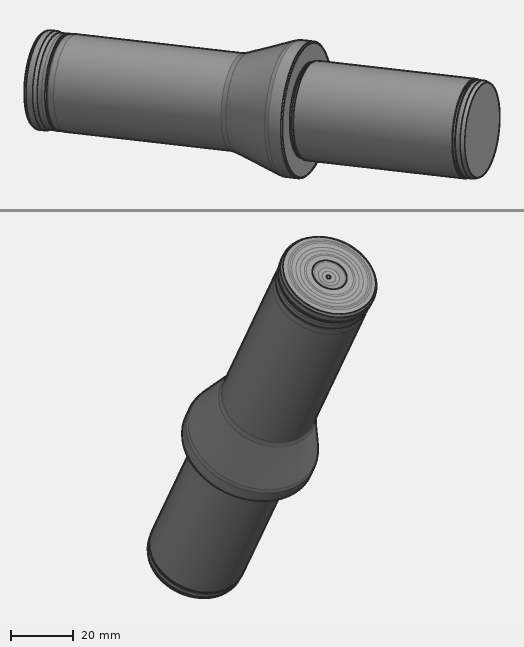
import cadquery as cq

total_length = 151.0
joint_x = 8.2
flare_start_x = 67.8
flare_x = 69.6
flare_end_x = 85.0
collar_x = 86.4
collar_back_x = 91.2
neck_end_x = 91.8
rear_shaft_x = 92.7
rear_shaft_end_x = 146.9
tail_x = 147.8
tail_chamfer_x = 149.6

front_radius = 31.4 / 2
rear_radius = 32.0 / 2
relief_radius = 31.0 / 2
collar_radius = 44.0 / 2
flare_start_radius = 16.2
flare_end_radius = 21.6
flare_slope = 0.3
tail_radius = 31.5 / 2
tail_end_radius = 15.3
collar_chamfer = 0.5

joint_radius = 15.4
joint_bevel = 0.5
lead_in_radius = 15.5
lead_in_length = 2.4
lead_in_slope = 0.2

cap_shoulder_x = 0.5
cap_shoulder_radius = 15.4
cap_rim_x = 1.4
cap_rim_end_x = 3.6
cap_taper_end_x = 5.0
cap_land_end_x = 6.3
cap_land_radius = 15.5

rim_outer_radius = 13.9
rim_crest_radius = 13.3
rim_edge_drop = 0.08
rim_inner_radius = 12.7
valley_outer_radius = 11.2
valley_inner_radius = 9.8
boss_base_radius = 8.5
boss_radius = 7.9
countersink_edge_radius = 5.7
countersink_radius = 5.3
countersink_floor_radius = 3.5
center_step_radius = 2.3
center_dimple_radius = 0.68
valley_depth = 0.3
boss_base_depth = 0.23
boss_depth = 0.2
countersink_start_depth = 0.3
countersink_depth = 1.0
center_step_depth = 1.2
dimple_depth = 1.4


def revolve_about_x(profile):
    """Turn a closed (x, radius) profile around the X axis."""
    return profile.close().revolve(360, (0, 0, 0), (1, 0, 0))


def make_cap():
    """End cap with a profiled face and a flat back."""
    profile = (
        cq.Workplane("XY")
        .moveTo(joint_x, 0)
        .lineTo(dimple_depth, 0)
        .lineTo(dimple_depth, center_dimple_radius)
        .lineTo(center_step_depth, center_dimple_radius)
        .lineTo(center_step_depth, center_step_radius)
        .lineTo(countersink_depth, countersink_floor_radius)
        .lineTo(countersink_start_depth, countersink_radius)
        .lineTo(boss_depth, countersink_edge_radius)
        .lineTo(boss_depth, boss_radius)
        .lineTo(boss_base_depth, boss_base_radius)
        .lineTo(valley_depth, valley_inner_radius)
        .lineTo(valley_depth, valley_outer_radius)
        .lineTo(rim_edge_drop, rim_inner_radius)
        .lineTo(0, rim_crest_radius)
        .lineTo(rim_edge_drop, rim_outer_radius)
        .lineTo(cap_shoulder_x, cap_shoulder_radius)
        .lineTo(cap_rim_x, rear_radius)
        .lineTo(cap_rim_end_x, rear_radius)
        .lineTo(cap_taper_end_x, cap_land_radius)
        .lineTo(cap_land_end_x, cap_land_radius)
        .lineTo(joint_x - joint_bevel, front_radius)
        .lineTo(joint_x, joint_radius)
    )
    return revolve_about_x(profile)


def make_shaft():
    """Shaft with a flared collar, relief, rear seat and tail ring."""
    flare_tangent = (1, flare_slope)
    profile = (
        cq.Workplane("XY")
        .moveTo(joint_x, 0)
        .lineTo(joint_x, joint_radius)
        .lineTo(joint_x + joint_bevel, lead_in_radius)
        .spline(
            [(joint_x + lead_in_length, front_radius)],
            tangents=[(1, lead_in_slope), (1, 0)],
            includeCurrent=True,
        )
        .lineTo(flare_start_x, front_radius)
        .spline([(flare_x, flare_start_radius)], tangents=[(1, 0), flare_tangent], includeCurrent=True)
        .spline(
            [(flare_end_x, flare_end_radius)],
            tangents=[flare_tangent, flare_tangent],
            includeCurrent=True,
        )
        .spline([(collar_x, collar_radius)], tangents=[flare_tangent, (1, 0)], includeCurrent=True)
        .lineTo(collar_back_x - collar_chamfer, collar_radius)
        .lineTo(collar_back_x, collar_radius - collar_chamfer)
        .lineTo(collar_back_x, relief_radius)
        .lineTo(neck_end_x, relief_radius)
        .lineTo(rear_shaft_x, rear_radius)
        .lineTo(rear_shaft_end_x, rear_radius)
        .lineTo(rear_shaft_end_x, relief_radius)
        .lineTo(tail_x, relief_radius)
        .lineTo(tail_x, tail_radius)
        .lineTo(tail_chamfer_x, tail_radius)
        .lineTo(total_length, tail_end_radius)
        .lineTo(total_length, 0)
    )
    return revolve_about_x(profile)


cap = make_cap()
shaft = make_shaft()

result = cq.Compound.makeCompound([cap.val(), shaft.val()])